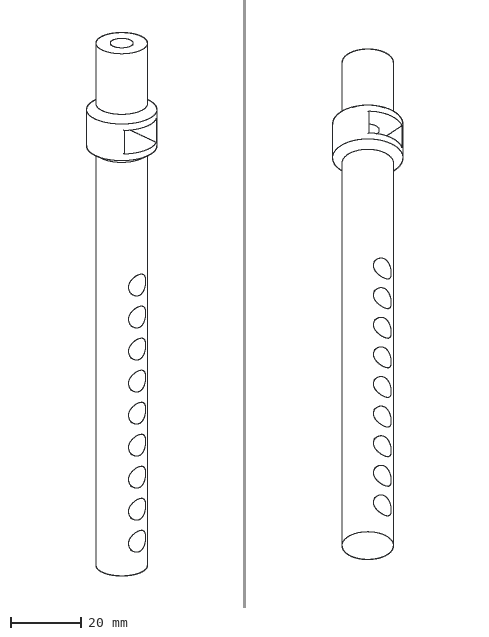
import cadquery as cq

rod_length = 163.0
rod_diameter = 14.7

collar_diameter = 20.0
collar_height = 15.0
collar_center_z = 136.6
cone_height = 1.8

window_width = 12.0
window_height = 7.3

bore_diameter = 6.5
cross_hole_diameter = 6.5
cross_hole_count = 9
top_hole_z = 90.0
cross_hole_pitch = top_hole_z / cross_hole_count

cut_length = 2 * collar_diameter


def make_rod():
    return cq.Workplane("XY").circle(rod_diameter / 2).extrude(rod_length)


def make_collar():
    rod_radius = rod_diameter / 2
    collar_radius = collar_diameter / 2
    bottom = collar_center_z - collar_height / 2
    top = collar_center_z + collar_height / 2
    profile = [
        (0, bottom),
        (rod_radius, bottom),
        (collar_radius, bottom + cone_height),
        (collar_radius, top - cone_height),
        (rod_radius, top),
        (0, top),
    ]
    return cq.Workplane("XZ").polyline(profile).close().revolve(360, (0, 0), (0, 1))


def make_window():
    window = cq.Workplane("XY").box(cut_length, window_width, window_height)
    return window.translate((0, 0, collar_center_z))


def make_bore():
    bore = cq.Workplane("XY").workplane(offset=collar_center_z)
    return bore.circle(bore_diameter / 2).extrude(rod_length - collar_center_z)


def make_cross_holes():
    centers = [(0, cross_hole_pitch * (i + 1)) for i in range(cross_hole_count)]
    holes = cq.Workplane("YZ").pushPoints(centers).circle(cross_hole_diameter / 2)
    return holes.extrude(cut_length / 2, both=True)


body = make_rod().union(make_collar())
result = body.cut(make_window()).cut(make_bore()).cut(make_cross_holes())